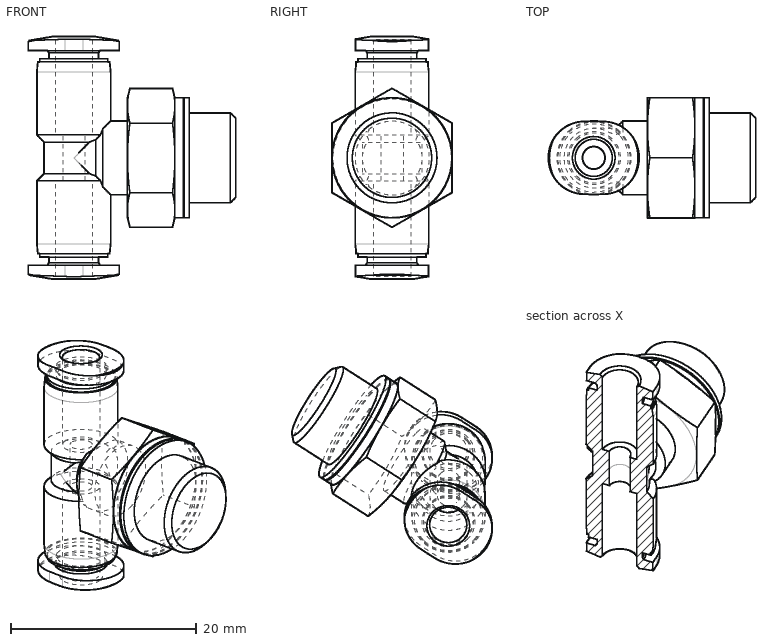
import cadquery as cq
import math

run_half_length = 13.1
body_diameter = 8.0
waist_diameter = 6.45
waist_half_height = 1.7
shoulder_height = (body_diameter - waist_diameter) / 2
body_start = waist_half_height + shoulder_height
sleeve_seam = 9.27
body_end = 10.35
sleeve_taper = 0.1
lip_diameter = 7.4
lip_end = 10.72

neck_diameter = 5.4
neck_flare_start = 11.32
neck_flare = 0.15
collar_length = 9.82
collar_width = 7.89
collar_base = 11.58
collar_crown_diameter = 4.6
collar_crown_drop = 0.42
collar_tip_chamfer = 0.13

tube_bore_diameter = 4.0
tube_bore_floor = body_start
passage_diameter = 2.4
bore_chamfer = (collar_crown_diameter - tube_bore_diameter) / 2

stem_cone_start = 2.38
stem_cone_end = stem_cone_start + shoulder_height
hex_start = 5.8
hex_end = 10.93
hex_across_flats = 13.0
hex_face_diameter = 12.9
hex_chamfer_length = 0.25
ring_diameter = hex_across_flats
ring_split = 11.85
ring_gap = 0.08
ring_gap_depth = 0.1
ring_end = 12.47
spigot_diameter = 9.72
spigot_chamfer = 0.58
overall_length = 22.4
branch_end = overall_length - collar_length / 2


def revolve_about_z(profile):
    """Revolve (radius, height) points about the Z axis."""
    return cq.Workplane("XZ").polyline(profile).close().revolve(360, (0, 0, 0), (0, 1, 0))


def revolve_about_x(profile):
    """Revolve (position along X, radius) points about the X axis."""
    return cq.Workplane("XY").polyline(profile).close().revolve(360, (0, 0, 0), (1, 0, 0))


def make_run_half():
    """Upper tube connection: waist, shouldered body, lip and collar neck."""
    waist_radius = waist_diameter / 2
    body_radius = body_diameter / 2
    lip_radius = lip_diameter / 2
    neck_radius = neck_diameter / 2
    return revolve_about_z([
        (0, 0),
        (waist_radius, 0),
        (waist_radius, waist_half_height),
        (body_radius, body_start),
        (body_radius, sleeve_seam),
        (body_radius - sleeve_taper, body_end),
        (lip_radius, body_end),
        (lip_radius, lip_end),
        (neck_radius, lip_end),
        (neck_radius, neck_flare_start),
        (neck_radius + neck_flare, collar_base),
        (0, collar_base),
    ])


def make_collar():
    """Oval release collar with a shallow conical crown and chamfered tips."""
    crown_radius = collar_crown_diameter / 2
    tip_radius = collar_length / 2
    crown_edge = run_half_length - collar_crown_drop
    oval = (
        cq.Workplane("XY", origin=(0, 0, collar_base))
        .slot2D(collar_length, collar_width)
        .extrude(run_half_length - collar_base)
    )
    crown = revolve_about_z([
        (0, collar_base),
        (tip_radius, collar_base),
        (tip_radius, crown_edge - collar_tip_chamfer),
        (tip_radius - collar_tip_chamfer, crown_edge),
        (crown_radius, run_half_length),
        (0, run_half_length),
    ])
    return oval.intersect(crown)


def make_tube_bore():
    """Blind tube socket with a chamfered mouth."""
    bore_radius = tube_bore_diameter / 2
    return revolve_about_z([
        (0, tube_bore_floor),
        (bore_radius, tube_bore_floor),
        (bore_radius, run_half_length - bore_chamfer),
        (bore_radius + bore_chamfer, run_half_length),
        (0, run_half_length),
    ])


def make_hexagon():
    """Hexagon with flats facing +Y and -Y and its corners chamfered at both ends."""
    face_radius = hex_face_diameter / 2
    prism = (
        cq.Workplane("YZ", origin=(hex_start, 0, 0))
        .polygon(6, hex_across_flats, circumscribed=True)
        .extrude(hex_end - hex_start)
    )
    corner_radius = hex_across_flats / 2 / math.cos(math.pi / 6)
    envelope = revolve_about_x([
        (hex_start, 0),
        (hex_start, face_radius),
        (hex_start + hex_chamfer_length, corner_radius),
        (hex_end - hex_chamfer_length, corner_radius),
        (hex_end, face_radius),
        (hex_end, 0),
    ])
    return prism.intersect(envelope)


def make_branch_round():
    """Round parts of the branch, from the run axis to the spigot end."""
    stem_radius = body_diameter / 2
    ring_radius = ring_diameter / 2
    spigot_radius = spigot_diameter / 2
    return revolve_about_x([
        (0, 0),
        (0, waist_diameter / 2),
        (stem_cone_start, waist_diameter / 2),
        (stem_cone_end, stem_radius),
        (hex_end, stem_radius),
        (hex_end, ring_radius),
        (ring_split, ring_radius),
        (ring_split, ring_radius - ring_gap_depth),
        (ring_split + ring_gap, ring_radius - ring_gap_depth),
        (ring_split + ring_gap, ring_radius),
        (ring_end, ring_radius),
        (ring_end, spigot_radius),
        (branch_end - spigot_chamfer, spigot_radius),
        (branch_end, spigot_radius - spigot_chamfer),
        (branch_end, 0),
    ])


upper_half = make_run_half().union(make_collar())
run = upper_half.union(upper_half.mirror("XY"))
tube_bore = make_tube_bore()
passage = cq.Workplane("XY").circle(passage_diameter / 2).extrude(run_half_length, both=True)

result = (
    run.union(make_branch_round())
    .union(make_hexagon())
    .cut(tube_bore)
    .cut(tube_bore.mirror("XY"))
    .cut(passage)
)